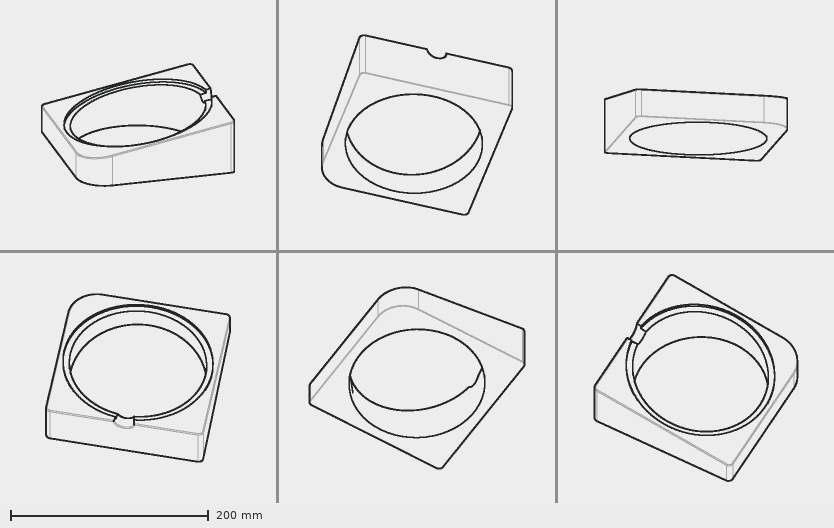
import cadquery as cq
import math

tilt = 10.0
face_side = 162.0
width = face_side
depth = face_side * math.cos(math.radians(tilt))
rise = face_side * math.sin(math.radians(tilt))

small_corner_radius = 5.0
large_corner_radius = 30.0
top_edge_radius = 1.0
bottom_edge_radius = 0.5

finished_height = 56.11
rear_edge_loss = top_edge_radius * (
    math.tan(math.radians(tilt)) + 1 / math.cos(math.radians(tilt)) - 1
)
rear_height = finished_height + rear_edge_loss
front_height = rear_height - rise
middle_height = (front_height + rear_height) / 2

recess_diameter = 152.0
recess_depth = 3.0
opening_diameter = 139.0
cutter_clearance = 20.0

notch_radius = 10.0
notch_axis_height = rear_height
notch_mouth_radius = 1.0


def sloped_plane():
    """Plane of the top face, with its origin at the middle of the face."""
    return cq.Plane(origin=(0, 0, middle_height), xDir=(1, 0, 0), normal=sloped_normal())


def sloped_normal():
    """Outward normal of the sloped top face."""
    return (0, -math.sin(math.radians(tilt)), math.cos(math.radians(tilt)))


def make_wedge():
    """Wedge with rounded corners and softened top and bottom rims."""
    wedge = (
        cq.Workplane("YZ")
        .moveTo(-depth / 2, 0)
        .lineTo(depth / 2, 0)
        .lineTo(depth / 2, rear_height)
        .lineTo(-depth / 2, front_height)
        .close()
        .extrude(width / 2, both=True)
    )
    wedge = wedge.edges("|Z and >X and <Y").fillet(large_corner_radius)
    for corner in ("<X and <Y", "<X and >Y", ">X and >Y"):
        wedge = wedge.edges("|Z and (" + corner + ")").fillet(small_corner_radius)
    top_face = cq.selectors.DirectionMinMaxSelector(cq.Vector(*sloped_normal()), True)
    wedge = wedge.faces(top_face).edges().fillet(top_edge_radius)
    return wedge.faces("<Z").edges().fillet(bottom_edge_radius)


def make_vertical_well(diameter):
    """Vertical well through the part whose mouth on the sloped face is a true circle."""
    radius_x = diameter / 2
    radius_y = radius_x * math.cos(math.radians(tilt))
    return cq.Workplane("XY").ellipse(radius_x, radius_y).extrude(rear_height + cutter_clearance)


def make_recess():
    """Upper part of a wide well, ending on a floor parallel to the sloped face."""
    space_above_floor = (
        cq.Workplane(sloped_plane())
        .workplane(offset=-recess_depth)
        .rect(face_side, face_side)
        .extrude(recess_depth + cutter_clearance)
    )
    return make_vertical_well(recess_diameter).intersect(space_above_floor)


def make_notch():
    """Round notch from the opening to the rear wall, flaring out at a rounded mouth."""
    mouth_start = depth / 2 - notch_mouth_radius
    arc_middle_offset = notch_mouth_radius / math.sqrt(2)
    flare_radius = notch_radius + notch_mouth_radius
    return (
        cq.Workplane("XY", origin=(0, 0, notch_axis_height))
        .lineTo(notch_radius, 0)
        .lineTo(notch_radius, mouth_start)
        .threePointArc(
            (flare_radius - arc_middle_offset, mouth_start + arc_middle_offset),
            (flare_radius, depth / 2),
        )
        .lineTo(0, depth / 2)
        .close()
        .revolve(360, (0, 0, 0), (0, 1, 0))
    )


holder = make_wedge()
holder = holder.cut(make_recess())
holder = holder.cut(make_vertical_well(opening_diameter))
result = holder.cut(make_notch())